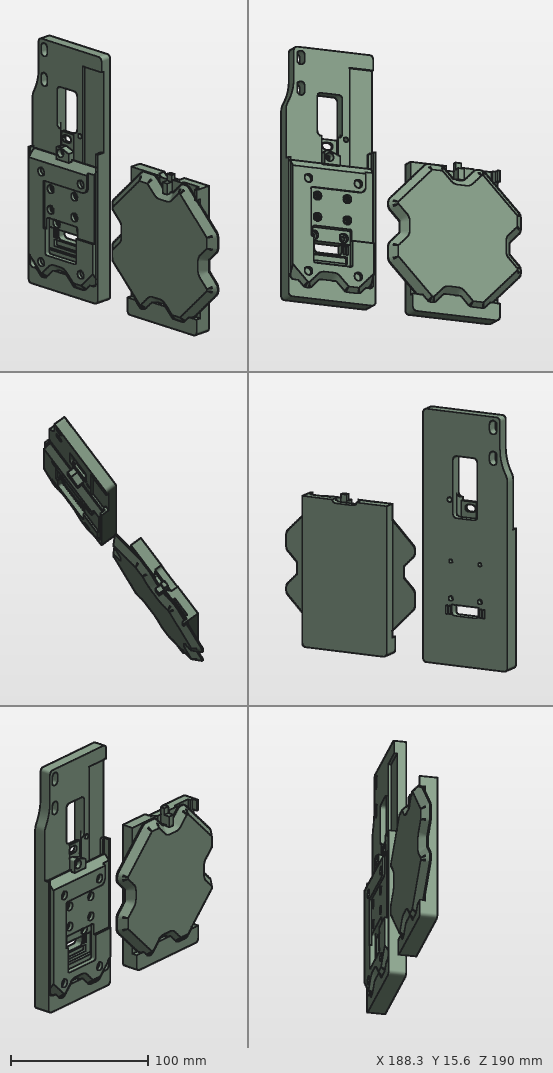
import cadquery as cq
import math


BASE_WIDTH = 70.0
PLATE_MIDDLE = BASE_WIDTH / 2
FLOOR_DEPTH = 9.1
RIM_DEPTH = 13.2
FRONT_DEPTH = 15.6
LIP_HEIGHT = 12.9
BASE_CORNER = 3.0
LEFT_RIM_WIDTH = 1.6
RIGHT_RIM_WIDTH = 1.8
LEFT_RIM_TOP = 105.0
RIGHT_RIM_TOP = 115.9

TALL_HEIGHT = 190.0
NECK_INSET = 6.2
NECK_BOTTOM = 166.0
UPPER_BEND_SHARE = 0.77
SHOULDER_TOP = 142.0
TALL_TOP_CORNER = 3.0

SHORT_OFFSET = 100.0
SHORT_HEIGHT = 113.2

WINDOW_X = 35.15
WINDOW_WIDTH = 20.0
WINDOW_BOTTOM = 125.0
WINDOW_TOP = 157.2
WINDOW_CORNER = 3.0
CHANNEL_WIDTH = 13.0
CHANNEL_BOTTOM = 103.8
BACK_NOTCH_BOTTOM = 110.7
CHANNEL_TOP = 130.0
UNDERCUT = (WINDOW_WIDTH - CHANNEL_WIDTH) / 2
UNDERCUT_DEPTH = FLOOR_DEPTH - UNDERCUT

RELIEF_LEFT = 50.9
RELIEF_RIGHT = 66.0
RELIEF_BOTTOM = 100.0
RELIEF_TOP = 178.7
RELIEF_CUT = 2.2
RELIEF_CORNER = 2.0

SLOT_X = 11.9
SLOT_HEIGHTS = (159.0, 182.1)
SLOT_LENGTH = 10.2
SLOT_WIDTH = 6.0
PIN_HOLE_X = 48.0
PIN_HOLE_Z = 124.0
PIN_HOLE_DIAMETER = 3.6

SCREW_SPACING = 24.0
SCREW_ROWS = (62.0, 78.0)
LOW_SCREW_ROW = 50.0
SCREW_HEAD_DIAMETER = 6.25
SCREW_HEAD_CUT = 3.0
SCREW_SEAT_DIAMETER = 5.25
SCREW_SEAT_CUT = 4.0
SCREW_DIAMETER = 2.7
LOW_SCREW_DIAMETER = 3.5
LOW_SCREW_HEAD = 6.9
LOW_SCREW_HEAD_CUT = 3.0

OPENING_WIDTH = 22.0
OPENING_BOTTOM = 37.4
OPENING_TOP = 45.5
OPENING_CORNER = 2.5
SIDE_SLOT_OFFSETS = (12.8, 15.3)
SIDE_SLOT_WIDTH = 1.6
SIDE_SLOT_BOTTOM = 38.0
SIDE_SLOT_TOP = 44.6
GROOVE_BOTTOM = 31.2
GROOVE_TOP = 36.3
GROOVE_WIDTH = 31.0
GROOVE_CORNER = 0.6
GROOVE_CUT = 2.8
WELL_WIDTH = 41.0
WELL_BOTTOM = 28.8
WELL_FLOOR = 6.3
SCREW_LEDGE_TOP = 58.0
SCREW_LEDGE_FLOOR = 7.6

ADAPTER_X = SHORT_OFFSET + PLATE_MIDDLE
ADAPTER_Z = 59.5
ADAPTER_BACK = FLOOR_DEPTH
ADAPTER_REACH = 47.8
BEVEL = 5.5
LIP_CLEARANCE = 1.4
FLAT_END = 20.6
NOTCH_CENTRE = 3.4
NOTCH_HALF_MOUTH = 15.7
NOTCH_DROP = 9.1
NOTCH_FILLET = 7.2

SLIDE_LEFT = 2.45
SLIDE_RIGHT = 67.5
SLIDE_TOP = 103.9
SLIDE_BEVEL = 5.7
PEG_HOLE_DIAMETER = 6.25
PEG_HOLE_DEPTH = 3.0
PEG_SPACING_X = 40.0
PEG_BOTTOM_Z = 20.0
PEG_SPACING_Z = 70.0
STEP_LEFT = 17.1
STEP_BOTTOM = 46.6
STEP_TOP = 83.8
STEP_CHANNEL_LEFT = 61.1
STEP_CUT = 1.6
STEP_LEFT_FILLET = 1.7
STEP_CHANNEL_FILLET = 4.5
SLIDE_WINDOW_LEFT = 19.25
SLIDE_WINDOW_RIGHT = 50.4
SLIDE_WINDOW_BOTTOM = 26.6
SLIDE_WINDOW_TOP = 55.3
SLIDE_WINDOW_CORNER = 1.8
SLIDE_HOLLOW_CUT = 2.2
SLIDE_HOLLOW_MARGIN = 5.0

LATCH_FRONT = 13.9
LATCH_BOTTOM = 102.75
SCREW_LATCH_LEFT = 28.75
SCREW_LATCH_WIDTH = 12.5
SCREW_LATCH_TOP = 122.9
SCREW_LATCH_TONGUE_FRONT = 8.0
LATCH_HEAD_TOP = 112.6
LATCH_HEAD_SIDE = 109.7
LATCH_HEAD_FLAT = 4.5
LATCH_HEAD_CORNER = 1.3
LATCH_SLOT_X = 33.75
LATCH_SLOT_Z = 117.9
LATCH_SLOT_LENGTH = 8.4
LATCH_SLOT_WIDTH = 5.5
LATCH_SCREW_X = 32.75
LATCH_SCREW_Z = 108.2
LATCH_SCREW_CONE = 2.5
BAR_LATCH_LEFT = SHORT_OFFSET + 36.25
BAR_LATCH_WIDTH = 4.6
BAR_LATCH_HEAD_TOP = 111.3
BAR_LATCH_TOP = 116.6


def at_depth(depth):
    """Sketch plane (X right, Z up) lying at the given depth."""
    return cq.Workplane("XZ", origin=(0, -depth, 0))


def block(left, right, bottom, top, back, front):
    """Box between two X, two Z and two depth limits."""
    return cq.Workplane("XY").box(
        right - left, front - back, top - bottom, centered=False
    ).translate((left, -front, bottom))


def round_hole(points, diameter, back, front):
    return at_depth(back).pushPoints(points).circle(diameter / 2).extrude(front - back)


def screw_points(rows):
    return [(PLATE_MIDDLE + side * SCREW_SPACING / 2, z) for side in (-1, 1) for z in rows]


def adapter_blank():
    """Pinwheel plate: one side profile turned four times, with a bevel all round."""
    left_mouth = NOTCH_CENTRE - NOTCH_HALF_MOUTH
    right_mouth = NOTCH_CENTRE + NOTCH_HALF_MOUTH
    floor = ADAPTER_REACH - NOTCH_DROP
    side = [
        (-FLAT_END, ADAPTER_REACH),
        (left_mouth, ADAPTER_REACH),
        (left_mouth + NOTCH_DROP, floor),
        (right_mouth - NOTCH_DROP, floor),
        (right_mouth, ADAPTER_REACH),
        (FLAT_END, ADAPTER_REACH),
    ]
    outline = []
    for turn in range(4):
        for x, z in side:
            for _ in range(turn):
                x, z = z, -x
            outline.append((x, z))

    edge_front = FRONT_DEPTH - BEVEL
    sharp = at_depth(edge_front).polyline(outline).close().extrude(BEVEL)
    notch_corners = [
        edge
        for edge in sharp.edges("|Y").vals()
        if max(abs(edge.Center().x), abs(edge.Center().z)) < floor + NOTCH_DROP / 2
    ]
    face = sharp.newObject(notch_corners).fillet(NOTCH_FILLET).faces("<Y").wires().val()
    front = at_depth(FRONT_DEPTH).add(face).toPending()
    bevelled = front.extrude(-BEVEL, taper=-45)
    rim = bevelled.faces(">Y").wires().toPending()
    edge = rim.workplane().extrude(edge_front - ADAPTER_BACK)
    return edge.translate((0, 0, ADAPTER_Z))


def latch_channel():
    """Undercut channel in front of an open-backed notch; its sides lean in 45 degrees toward the front."""
    bottom = CHANNEL_BOTTOM - UNDERCUT
    height = CHANNEL_TOP - bottom + UNDERCUT
    channel = (
        at_depth(UNDERCUT_DEPTH)
        .center(WINDOW_X, bottom + height / 2)
        .sketch()
        .rect(WINDOW_WIDTH, height)
        .vertices()
        .fillet(WINDOW_CORNER)
        .finalize()
        .extrude(UNDERCUT, taper=45)
    )
    notch = (
        block(
            WINDOW_X - WINDOW_WIDTH / 2,
            WINDOW_X + WINDOW_WIDTH / 2,
            BACK_NOTCH_BOTTOM,
            CHANNEL_TOP,
            0,
            UNDERCUT_DEPTH,
        )
        .edges("|Y and <Z")
        .fillet(WINDOW_CORNER)
    )
    return channel.union(notch)


def relief(top):
    """Shallow step at the right: stops at the rim foot, then runs out to the right edge above the rim."""
    front = FLOOR_DEPTH
    back = FLOOR_DEPTH - RELIEF_CUT
    lower = block(RELIEF_LEFT, RELIEF_RIGHT, RELIEF_BOTTOM, top, back, front)
    if top <= RIGHT_RIM_TOP:
        return lower
    foot_corner = (
        block(RELIEF_RIGHT, BASE_WIDTH, RELIEF_BOTTOM, RIGHT_RIM_TOP, back, front)
        .edges("|Y and <X and >Z")
        .fillet(RELIEF_CORNER)
    )
    whole = block(RELIEF_LEFT, BASE_WIDTH, RELIEF_BOTTOM, top, back, front)
    return whole.cut(foot_corner)


def lip_tongue():
    """Raised part of the lip that fills the plate's bottom notch."""
    middle = PLATE_MIDDLE - NOTCH_CENTRE
    return block(
        middle - NOTCH_HALF_MOUTH,
        middle + NOTCH_HALF_MOUTH,
        LIP_HEIGHT,
        ADAPTER_Z - ADAPTER_REACH + NOTCH_DROP - BEVEL,
        FLOOR_DEPTH,
        RIM_DEPTH,
    )


def lip_relief(plate):
    """Space for a plate's bevel in the lip: the plate itself and a copy moved forward for clearance."""
    return plate.union(plate.translate((0, -LIP_CLEARANCE, 0)))


def tall_outline():
    """Plain slab whose left side narrows at the top through two tangent bends."""
    bend = math.atan2(NECK_INSET, NECK_BOTTOM - SHOULDER_TOP) * 2
    reach = NECK_BOTTOM - SHOULDER_TOP
    bend_radius = UPPER_BEND_SHARE * reach / math.sin(bend)
    shoulder_radius = (1 - UPPER_BEND_SHARE) * reach / math.sin(bend)

    def on_bend(angle):
        return (
            NECK_INSET - bend_radius * (1 - math.cos(angle)),
            NECK_BOTTOM - bend_radius * math.sin(angle),
        )

    def on_shoulder(angle):
        return (
            shoulder_radius * (1 - math.cos(angle)),
            SHOULDER_TOP + shoulder_radius * math.sin(angle),
        )

    return (
        at_depth(0)
        .moveTo(0, 0)
        .lineTo(BASE_WIDTH, 0)
        .lineTo(BASE_WIDTH, TALL_HEIGHT)
        .lineTo(NECK_INSET, TALL_HEIGHT)
        .lineTo(NECK_INSET, NECK_BOTTOM)
        .threePointArc(on_bend(bend / 2), on_bend(bend))
        .threePointArc(on_shoulder(bend / 2), (0, SHOULDER_TOP))
        .close()
        .extrude(FLOOR_DEPTH)
        .edges("|Y and >Z")
        .fillet(TALL_TOP_CORNER)
    )


def lip_and_rims():
    """Bottom lip and side rims that frame the slide plate's pocket."""
    pocket_right = BASE_WIDTH - RIGHT_RIM_WIDTH
    pocket = (
        block(LEFT_RIM_WIDTH, pocket_right, LIP_HEIGHT, TALL_HEIGHT, FLOOR_DEPTH, RIM_DEPTH)
        .edges("|Y and <Z")
        .fillet(BASE_CORNER)
    )
    rims = block(0, BASE_WIDTH, 0, LEFT_RIM_TOP, FLOOR_DEPTH, RIM_DEPTH).union(
        block(pocket_right, BASE_WIDTH, 0, RIGHT_RIM_TOP, FLOOR_DEPTH, RIM_DEPTH)
    )
    return rims.cut(pocket).union(lip_tongue())


def seat_cutters():
    """Well, opening, slots, groove and screw holes in the tall base behind the slide plate."""
    opening = (
        block(
            PLATE_MIDDLE - OPENING_WIDTH / 2,
            PLATE_MIDDLE + OPENING_WIDTH / 2,
            OPENING_BOTTOM,
            OPENING_TOP,
            0,
            FLOOR_DEPTH,
        )
        .edges("|Y and <Z")
        .fillet(OPENING_CORNER)
    )
    side_slots = (
        at_depth(0)
        .pushPoints(
            [
                (PLATE_MIDDLE + side * offset, (SIDE_SLOT_BOTTOM + SIDE_SLOT_TOP) / 2)
                for side in (-1, 1)
                for offset in SIDE_SLOT_OFFSETS
            ]
        )
        .slot2D(SIDE_SLOT_TOP - SIDE_SLOT_BOTTOM, SIDE_SLOT_WIDTH, 90)
        .extrude(FLOOR_DEPTH)
    )
    groove = (
        block(
            PLATE_MIDDLE - GROOVE_WIDTH / 2,
            PLATE_MIDDLE + GROOVE_WIDTH / 2,
            GROOVE_BOTTOM,
            GROOVE_TOP,
            WELL_FLOOR - GROOVE_CUT,
            WELL_FLOOR,
        )
        .edges("|Y")
        .fillet(GROOVE_CORNER)
    )
    well_left = PLATE_MIDDLE - WELL_WIDTH / 2
    well_right = PLATE_MIDDLE + WELL_WIDTH / 2
    well = block(well_left, well_right, WELL_BOTTOM, OPENING_TOP, WELL_FLOOR, FLOOR_DEPTH).union(
        block(well_left, well_right, OPENING_TOP, SCREW_LEDGE_TOP, SCREW_LEDGE_FLOOR, FLOOR_DEPTH)
    )
    low_points = screw_points([LOW_SCREW_ROW])
    low_screws = round_hole(low_points, LOW_SCREW_DIAMETER, 0, FLOOR_DEPTH)
    low_heads = round_hole(
        low_points, LOW_SCREW_HEAD, SCREW_LEDGE_FLOOR - LOW_SCREW_HEAD_CUT, SCREW_LEDGE_FLOOR
    )
    top_screws = round_hole(screw_points(SCREW_ROWS[-1:]), SCREW_DIAMETER, 0, FLOOR_DEPTH)
    return [well, opening, side_slots, groove, low_screws, low_heads, top_screws]


def tall_base(slide):
    """Tall base: slab, frame for the slide plate, window, latch channel, slots and slide seat."""
    body = tall_outline().union(lip_and_rims()).edges("|Y and <Z").fillet(BASE_CORNER)

    window = (
        block(
            WINDOW_X - WINDOW_WIDTH / 2,
            WINDOW_X + WINDOW_WIDTH / 2,
            WINDOW_BOTTOM,
            WINDOW_TOP,
            0,
            FLOOR_DEPTH,
        )
        .edges("|Y")
        .fillet(WINDOW_CORNER)
    )
    body = body.cut(window).cut(latch_channel()).cut(relief(RELIEF_TOP))

    slots = (
        at_depth(0)
        .pushPoints([(SLOT_X, z) for z in SLOT_HEIGHTS])
        .slot2D(SLOT_LENGTH, SLOT_WIDTH, 90)
        .extrude(FLOOR_DEPTH)
    )
    pin_hole = round_hole([(PIN_HOLE_X, PIN_HOLE_Z)], PIN_HOLE_DIAMETER, 0, FLOOR_DEPTH)
    body = body.cut(slots).cut(pin_hole)

    for cutter in seat_cutters() + [lip_relief(slide)]:
        body = body.cut(cutter)
    return body


def slide_plate(blank):
    """Adapter outline trimmed to a narrow plate, with a stepped front, a window and screw holes."""
    upper = (
        block(SLIDE_LEFT, SLIDE_RIGHT, ADAPTER_Z, SLIDE_TOP, ADAPTER_BACK, FRONT_DEPTH)
        .edges("<Y and >Z")
        .chamfer(SLIDE_BEVEL)
    )
    lower = block(SLIDE_LEFT, SLIDE_RIGHT, 0, ADAPTER_Z, ADAPTER_BACK, FRONT_DEPTH)
    plate = blank.translate((PLATE_MIDDLE, 0, 0)).intersect(lower).union(upper)

    step_back = FRONT_DEPTH - STEP_CUT
    step = block(STEP_LEFT, BASE_WIDTH, STEP_BOTTOM, STEP_TOP, step_back, FRONT_DEPTH)
    step = step.edges("|Y and <X").fillet(STEP_LEFT_FILLET)
    channel = block(STEP_CHANNEL_LEFT, BASE_WIDTH, STEP_BOTTOM, SLIDE_TOP, step_back, FRONT_DEPTH)
    inner_corner = cq.selectors.NearestToPointSelector(
        (STEP_CHANNEL_LEFT, -step_back - STEP_CUT / 2, STEP_TOP)
    )
    step = step.union(channel).edges("|Y").edges(inner_corner).fillet(STEP_CHANNEL_FILLET)

    window = (
        block(
            SLIDE_WINDOW_LEFT,
            SLIDE_WINDOW_RIGHT,
            SLIDE_WINDOW_BOTTOM,
            SLIDE_WINDOW_TOP,
            ADAPTER_BACK,
            FRONT_DEPTH,
        )
        .edges("|Y")
        .fillet(SLIDE_WINDOW_CORNER)
    )
    hollow = block(
        SLIDE_WINDOW_LEFT - SLIDE_HOLLOW_MARGIN,
        SLIDE_WINDOW_RIGHT + SLIDE_HOLLOW_MARGIN,
        SLIDE_WINDOW_BOTTOM - SLIDE_HOLLOW_MARGIN,
        SLIDE_WINDOW_TOP,
        ADAPTER_BACK,
        ADAPTER_BACK + SLIDE_HOLLOW_CUT,
    )
    plate = plate.cut(step).cut(window).cut(hollow)

    pegs = [
        (PLATE_MIDDLE + side * PEG_SPACING_X / 2, PEG_BOTTOM_Z + level * PEG_SPACING_Z)
        for side in (-1, 1)
        for level in (0, 1)
    ]
    plate = plate.cut(round_hole(pegs, PEG_HOLE_DIAMETER, FRONT_DEPTH - PEG_HOLE_DEPTH, FRONT_DEPTH))

    screws = screw_points(SCREW_ROWS)
    for points, diameter, back, front in (
        (screws, SCREW_HEAD_DIAMETER, step_back - SCREW_HEAD_CUT, step_back),
        (screws, SCREW_SEAT_DIAMETER, step_back - SCREW_SEAT_CUT, step_back),
        (screws, SCREW_DIAMETER, ADAPTER_BACK, step_back),
    ):
        plate = plate.cut(round_hole(points, diameter, back, front))
    return plate


def screw_latch(slide):
    """Latch with a slotted tongue in the channel and a sloped head in front of the base."""
    left = SCREW_LATCH_LEFT
    right = left + SCREW_LATCH_WIDTH
    tongue = block(
        left, right, CHANNEL_BOTTOM, SCREW_LATCH_TOP, UNDERCUT_DEPTH, SCREW_LATCH_TONGUE_FRONT
    )
    slot = (
        at_depth(UNDERCUT_DEPTH)
        .center(LATCH_SLOT_X, LATCH_SLOT_Z)
        .slot2D(LATCH_SLOT_LENGTH, LATCH_SLOT_WIDTH)
        .extrude(SCREW_LATCH_TONGUE_FRONT - UNDERCUT_DEPTH)
    )
    flat_end = left + LATCH_HEAD_FLAT
    head = (
        at_depth(SCREW_LATCH_TONGUE_FRONT)
        .moveTo(left, LATCH_BOTTOM)
        .lineTo(right, LATCH_BOTTOM)
        .lineTo(right, LATCH_HEAD_SIDE)
        .lineTo(flat_end, LATCH_HEAD_TOP)
        .lineTo(left, LATCH_HEAD_TOP)
        .close()
        .extrude(LATCH_FRONT - SCREW_LATCH_TONGUE_FRONT)
        .edges("|Y and <X and >Z")
        .fillet(LATCH_HEAD_CORNER)
        .cut(block(left, right, LATCH_BOTTOM, CHANNEL_BOTTOM, 0, FLOOR_DEPTH))
    )
    screw_hole = (
        at_depth(LATCH_FRONT)
        .center(LATCH_SCREW_X, LATCH_SCREW_Z)
        .circle(SCREW_HEAD_DIAMETER / 2)
        .workplane(offset=-LATCH_SCREW_CONE)
        .circle(SCREW_DIAMETER / 2)
        .loft()
    )
    through = round_hole([(LATCH_SCREW_X, LATCH_SCREW_Z)], SCREW_DIAMETER, FLOOR_DEPTH, LATCH_FRONT)
    return tongue.cut(slot).union(head).cut(screw_hole).cut(through).cut(slide)


def short_base(adapter):
    """Short base: plain block with a full-width lip, a rim stub and the same channel and relief."""
    body = block(0, BASE_WIDTH, 0, SHORT_HEIGHT, 0, FLOOR_DEPTH)
    lip = block(0, BASE_WIDTH, 0, LIP_HEIGHT, FLOOR_DEPTH, RIM_DEPTH)
    rim_stub = block(
        BASE_WIDTH - RIGHT_RIM_WIDTH, BASE_WIDTH, LEFT_RIM_TOP, SHORT_HEIGHT, FLOOR_DEPTH, RIM_DEPTH
    )
    body = body.union(lip).edges("|Y and <Z").fillet(BASE_CORNER).union(rim_stub).union(lip_tongue())
    body = body.cut(latch_channel()).cut(relief(SHORT_HEIGHT))
    return body.translate((SHORT_OFFSET, 0, 0)).cut(lip_relief(adapter))


def bar_latch(adapter):
    """Narrow latch: a tongue in the channel and a lower head in front of the base."""
    left = BAR_LATCH_LEFT
    right = left + BAR_LATCH_WIDTH
    tongue = block(left, right, CHANNEL_BOTTOM, BAR_LATCH_TOP, UNDERCUT_DEPTH, FLOOR_DEPTH)
    head = block(left, right, LATCH_BOTTOM, BAR_LATCH_HEAD_TOP, FLOOR_DEPTH, LATCH_FRONT)
    return tongue.union(head).cut(adapter)


adapter_shape = adapter_blank()
adapter_plate = adapter_shape.translate((ADAPTER_X, 0, 0))
slide = slide_plate(adapter_shape)

bodies = [
    tall_base(slide),
    slide,
    screw_latch(slide),
    short_base(adapter_plate),
    adapter_plate,
    bar_latch(adapter_plate),
]
result = cq.Compound.makeCompound([body.solids().val() for body in bodies])